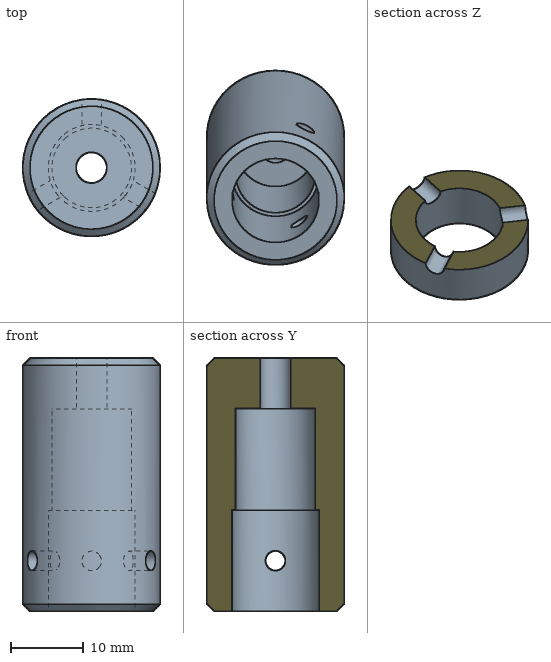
import cadquery as cq

height = 35.0
body_diameter = 19.0
edge_chamfer = 1.0

top_hole_diameter = 4.2
socket_diameter = 12.0
inner_bore_diameter = 11.0
top_wall = 7.0

screw_hole_diameter = 2.7
screw_hole_height = 7.0
screw_hole_count = 3
first_screw_angle = 90.0

socket_depth = 2 * screw_hole_height
inner_bore_depth = height - top_wall


def make_body():
    cylinder = cq.Workplane("XY").circle(body_diameter / 2).extrude(height)
    return cylinder.faces("<Z or >Z").edges().chamfer(edge_chamfer)


def make_axial_bore(diameter, depth):
    """Bore along the axis, starting at the bottom face."""
    return cq.Workplane("XY").circle(diameter / 2).extrude(depth)


def make_screw_hole(angle):
    """Radial hole from the axis out through the wall."""
    hole = cq.Workplane("YZ").center(0, screw_hole_height).circle(screw_hole_diameter / 2)
    return hole.extrude(body_diameter).rotate((0, 0, 0), (0, 0, 1), angle)


result = make_body()
result = result.cut(make_axial_bore(socket_diameter, socket_depth))
result = result.cut(make_axial_bore(inner_bore_diameter, inner_bore_depth))
result = result.cut(make_axial_bore(top_hole_diameter, height))
for index in range(screw_hole_count):
    result = result.cut(make_screw_hole(first_screw_angle + index * 360 / screw_hole_count))